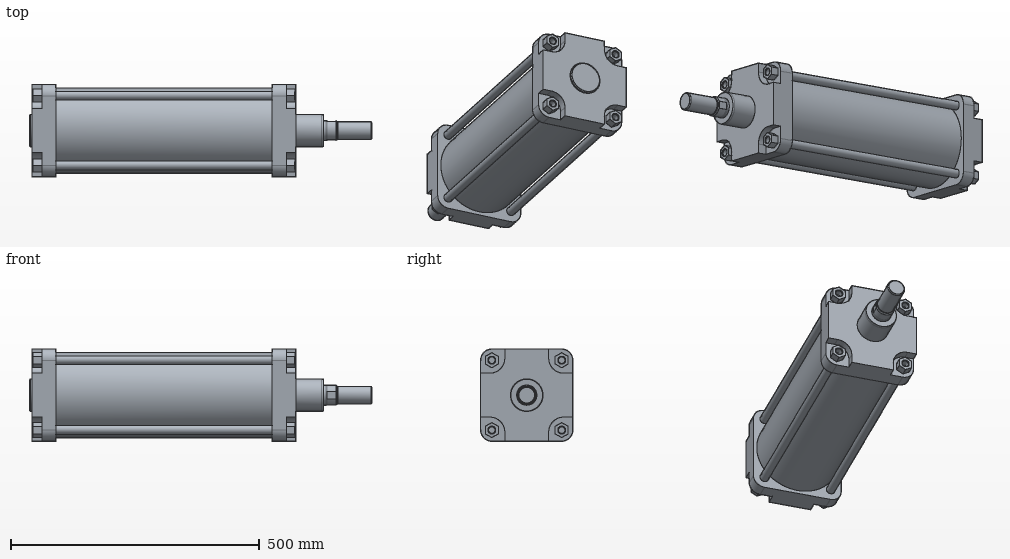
import cadquery as cq
import math

COVER_SIDE = 186.0
TIE_OFFSET = 70.0
RECESS_REACH = 49.0
RECESS_RADIUS = 30.0
CORNER_RADIUS = 23.5

REAR_FACE = 5.0
COVER_LENGTH = 48.0
REAR_RECESS_DEPTH = 20.5
FRONT_FACE = 535.0
FRONT_RECESS_DEPTH = 18.5
REAR_INNER = REAR_FACE + COVER_LENGTH
FRONT_INNER = FRONT_FACE - COVER_LENGTH
ROD_TIP = 688.0

BOSS_DIAMETER = 65.5
BOSS_END = 591.0
BOSS_EDGE_LENGTH = 4.0
BOSS_EDGE_DROP = 1.0
PAD_CHAMFER = 2.0

BARREL_DIAMETER = 172.0

TIE_DIAMETER = 18.0
NUT_ACROSS_FLATS = 26.0
NUT_SETBACK = 2.0
END_HOLE_DIAMETER = 13.0
END_HOLE_DEPTH = 20.5
END_CHAMFER = 1.5

ROD_DIAMETER = 40.5
STEP_START = 595.0
COLLAR_DIAMETER = 40.0
WRENCH_FLATS = 37.0
FLATS_START = 597.0
ROD_SHOULDER = 616.0
RELIEF_DIAMETER = 35.0
RELIEF_START = 618.0
THREAD_DIAMETER = 36.0
THREAD_START = 620.0
THREAD_CHAMFER = 2.0


def cylinder(diameter, start, end):
    """Cylinder on the X axis between two stations."""
    return cq.Workplane("YZ").workplane(offset=start).circle(diameter / 2).extrude(end - start)


def at_tie_rods():
    """The four tie rod positions as (y, z)."""
    return [(y, z) for y in (-TIE_OFFSET, TIE_OFFSET) for z in (-TIE_OFFSET, TIE_OFFSET)]


def cover(start, recess_start, recess_depth):
    """Rounded square cover with a nut recess and a tie rod hole at each corner."""
    body = cq.Workplane("YZ").workplane(offset=start).rect(COVER_SIDE, COVER_SIDE).extrude(COVER_LENGTH)
    body = body.edges("|X").fillet(CORNER_RADIUS)
    corners = cq.Workplane("YZ", origin=(recess_start, 0, 0)).rect(COVER_SIDE, COVER_SIDE, forConstruction=True)
    recesses = corners.vertices().rect(2 * RECESS_REACH, 2 * RECESS_REACH).extrude(recess_depth)
    body = body.cut(recesses.edges("|X").fillet(RECESS_RADIUS))
    holes = (
        cq.Workplane("YZ", origin=(start, 0, 0))
        .pushPoints(at_tie_rods())
        .circle(TIE_DIAMETER / 2)
        .extrude(COVER_LENGTH)
    )
    return body.cut(holes)


def make_rear_cover():
    """Rear cover with a low round pad on its outer face."""
    pad = cylinder(BOSS_DIAMETER, 0, REAR_FACE).faces("<X").chamfer(PAD_CHAMFER)
    return cover(REAR_FACE, REAR_FACE, REAR_RECESS_DEPTH).union(pad)


def make_front_cover():
    """Front cover with a long round boss, bored through for the piston rod."""
    boss = cylinder(BOSS_DIAMETER, FRONT_FACE, BOSS_END)
    boss = boss.faces(">X").chamfer(BOSS_EDGE_LENGTH, BOSS_EDGE_DROP)
    body = cover(FRONT_INNER, FRONT_FACE - FRONT_RECESS_DEPTH, FRONT_RECESS_DEPTH).union(boss)
    return body.cut(cylinder(ROD_DIAMETER, FRONT_INNER, BOSS_END))


def make_piston_rod():
    """Stepped rod with two wrench flats, facing -Y and +Y, and a thread end."""
    profile = [
        (FRONT_INNER, 0),
        (FRONT_INNER, ROD_DIAMETER / 2),
        (STEP_START, ROD_DIAMETER / 2),
        (FLATS_START, COLLAR_DIAMETER / 2),
        (ROD_SHOULDER, COLLAR_DIAMETER / 2),
        (RELIEF_START, RELIEF_DIAMETER / 2),
        (THREAD_START, RELIEF_DIAMETER / 2),
        (THREAD_START, THREAD_DIAMETER / 2),
        (ROD_TIP - THREAD_CHAMFER, THREAD_DIAMETER / 2),
        (ROD_TIP, THREAD_DIAMETER / 2 - THREAD_CHAMFER),
        (ROD_TIP, 0),
    ]
    rod = cq.Workplane("XY").polyline(profile).close().revolve(360, (0, 0, 0), (1, 0, 0))
    flats_length = ROD_SHOULDER - FLATS_START
    cutter_offset = WRENCH_FLATS / 2 + ROD_DIAMETER / 2
    cutters = (
        cq.Workplane("YZ", origin=(FLATS_START, 0, 0))
        .pushPoints([(-cutter_offset, 0), (cutter_offset, 0)])
        .rect(ROD_DIAMETER, ROD_DIAMETER)
        .extrude(flats_length)
    )
    return rod.cut(cutters)


def make_tie_rod(y, z):
    """Tie rod with a nut at each end and a chamfered blind hole in each end face."""
    rear_end = REAR_FACE + NUT_SETBACK
    front_end = FRONT_FACE - NUT_SETBACK
    rear_nut_length = REAR_RECESS_DEPTH - NUT_SETBACK
    front_nut_length = FRONT_RECESS_DEPTH - NUT_SETBACK
    rod = cylinder(TIE_DIAMETER, rear_end, front_end)
    nut_outline = cq.Sketch().regularPolygon(NUT_ACROSS_FLATS / math.sqrt(3), 6, angle=0)
    for start, length in ((rear_end, rear_nut_length), (front_end - front_nut_length, front_nut_length)):
        nut = cq.Workplane("YZ", origin=(start, 0, 0)).placeSketch(nut_outline).extrude(length)
        rod = rod.union(nut)
    for start in (rear_end, front_end - END_HOLE_DEPTH):
        rod = rod.cut(cylinder(END_HOLE_DIAMETER, start, start + END_HOLE_DEPTH))
    rod = rod.faces("<X or >X").edges("%CIRCLE").chamfer(END_CHAMFER)
    return rod.translate((0, y, z))


rear_cover = make_rear_cover()
front_cover = make_front_cover()
barrel = cylinder(BARREL_DIAMETER, REAR_INNER, FRONT_INNER)
piston_rod = make_piston_rod()
tie_rods = [make_tie_rod(y, z) for y, z in at_tie_rods()]

result = cq.Compound.makeCompound(
    [
        rear_cover.val(),
        front_cover.val(),
        barrel.val(),
        piston_rod.val(),
        *[rod.val() for rod in tie_rods],
    ]
)